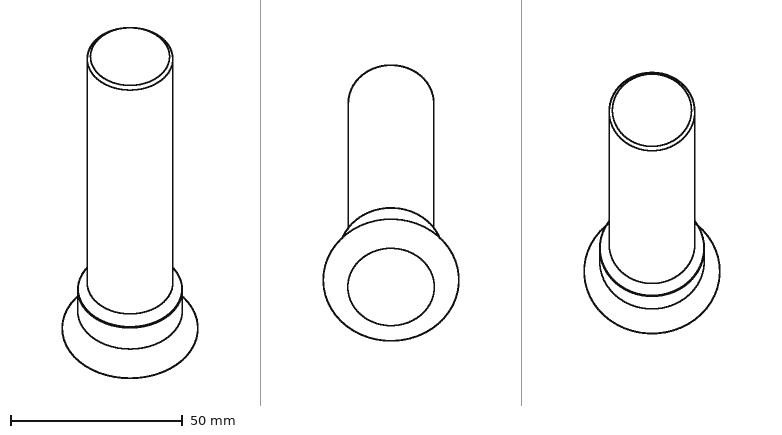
import cadquery as cq
import math

total_height = 120.0
shaft_radius = 25.0 / 2
shaft_chamfer = 1.0
collar_radius = 30.5 / 2
collar_bevel_width = 0.1
collar_bevel_height = 0.4
collar_side_top = 20.9

foot_top = 11.9
foot_top_radius = 15.6
foot_bottom_radius = 12.6
upper_slope = math.radians(60)
lower_slope = math.radians(30)
foot_rounding = 0.6


def revolve_profile(profile):
    """Turn a closed radius-height profile around the Z axis."""
    return profile.close().revolve(360, (0, 0, 0), (0, 1, 0))


def point_on_arc(center, angle):
    """Point of a foot rounding, with the angle measured up from the outward radius."""
    return (
        center[0] + foot_rounding * math.cos(angle),
        center[1] + foot_rounding * math.sin(angle),
    )


def make_stem():
    """Shaft and beveled collar, joined by a 45 degree shoulder."""
    shoulder_radius = collar_radius - collar_bevel_width
    shoulder_bottom = collar_side_top + collar_bevel_height
    shoulder_top = shoulder_bottom + shoulder_radius - shaft_radius
    profile = (
        cq.Workplane("XZ")
        .moveTo(0, foot_top)
        .lineTo(collar_radius, foot_top)
        .lineTo(collar_radius, collar_side_top)
        .lineTo(shoulder_radius, shoulder_bottom)
        .lineTo(shaft_radius, shoulder_top)
        .lineTo(shaft_radius, total_height - shaft_chamfer)
        .lineTo(shaft_radius - shaft_chamfer, total_height)
        .lineTo(0, total_height)
    )
    return revolve_profile(profile)


def make_foot():
    """Two cones with a rounded rim between them and a rounded top edge."""
    upper_rise = math.tan(upper_slope)
    lower_rise = math.tan(lower_slope)

    upper_normal = math.pi / 2 - upper_slope
    lower_normal = lower_slope - math.pi / 2

    corner_radius = (
        foot_top + upper_rise * foot_top_radius + lower_rise * foot_bottom_radius
    ) / (upper_rise + lower_rise)
    corner_height = lower_rise * (corner_radius - foot_bottom_radius)

    rim_middle = (upper_normal + lower_normal) / 2
    rim_inset = foot_rounding / math.cos((upper_normal - lower_normal) / 2)
    rim_center = (
        corner_radius - rim_inset * math.cos(rim_middle),
        corner_height - rim_inset * math.sin(rim_middle),
    )

    top_center = (
        foot_top_radius - foot_rounding * math.tan(upper_slope / 2),
        foot_top - foot_rounding,
    )
    top_middle = (upper_normal + math.pi / 2) / 2

    profile = (
        cq.Workplane("XZ")
        .lineTo(foot_bottom_radius, 0)
        .lineTo(*point_on_arc(rim_center, lower_normal))
        .threePointArc(
            point_on_arc(rim_center, rim_middle),
            point_on_arc(rim_center, upper_normal),
        )
        .lineTo(*point_on_arc(top_center, upper_normal))
        .threePointArc(
            point_on_arc(top_center, top_middle),
            point_on_arc(top_center, math.pi / 2),
        )
        .lineTo(0, foot_top)
    )
    return revolve_profile(profile)


stem = make_stem()
foot = make_foot()
result = cq.Compound.makeCompound([stem.val(), foot.val()])